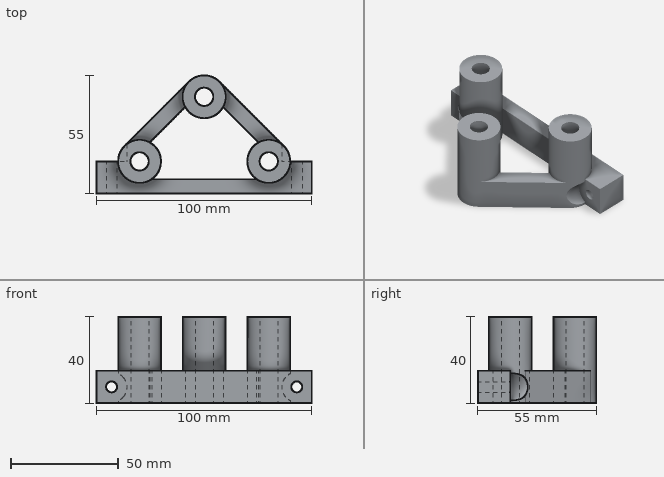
import cadquery as cq
import math

bar_length = 100.0
bar_depth = 15.0
bar_height = 15.0

tube_diameter = 20.0
tube_radius = tube_diameter / 2
tube_height = 40.0
bore_diameter = 8.4
tube_offset = 30.0
apex_y = bar_depth + tube_offset
tube_centers = [(-tube_offset, bar_depth), (tube_offset, bar_depth), (0, apex_y)]

opening_front_y = 6.8
opening_apex_y = 49.0
opening_side_y = opening_apex_y - tube_offset

screw_diameter = 5.0
screw_x = 43.0
screw_z = bar_height / 2
head_diameter = 14.0

bar = cq.Workplane("XY").box(bar_length, bar_depth, bar_height, centered=(True, False, False))
tangent_shift = tube_radius * math.sin(math.radians(45))
web = (
    cq.Workplane("XY")
    .moveTo(-tube_offset, bar_depth)
    .lineTo(-tube_offset - tangent_shift, bar_depth + tangent_shift)
    .lineTo(-tangent_shift, apex_y + tangent_shift)
    .lineTo(tangent_shift, apex_y + tangent_shift)
    .lineTo(tube_offset + tangent_shift, bar_depth + tangent_shift)
    .lineTo(tube_offset, bar_depth)
    .close()
    .extrude(bar_height)
)
opening = (
    cq.Workplane("XY")
    .moveTo(-tube_offset, opening_front_y)
    .lineTo(-tube_offset, opening_side_y)
    .lineTo(0, opening_apex_y)
    .lineTo(tube_offset, opening_side_y)
    .lineTo(tube_offset, opening_front_y)
    .close()
    .extrude(bar_height)
)
frame = bar.union(web).cut(opening)

tubes = cq.Workplane("XY").pushPoints(tube_centers).circle(tube_radius).extrude(tube_height)
bores = cq.Workplane("XY").pushPoints(tube_centers).circle(bore_diameter / 2).extrude(tube_height)
body = frame.union(tubes).cut(bores)


def holes_along_y(diameter, start_y, end_y):
    """Pair of cylinders on the screw axes, running between two Y positions."""
    return (
        cq.Workplane("XZ", origin=(0, start_y, 0))
        .pushPoints([(-screw_x, screw_z), (screw_x, screw_z)])
        .circle(diameter / 2)
        .extrude(start_y - end_y)
    )


screw_holes = holes_along_y(screw_diameter, 0, bar_depth)
head_clearances = holes_along_y(head_diameter, bar_depth, apex_y)

result = body.cut(screw_holes).cut(head_clearances)